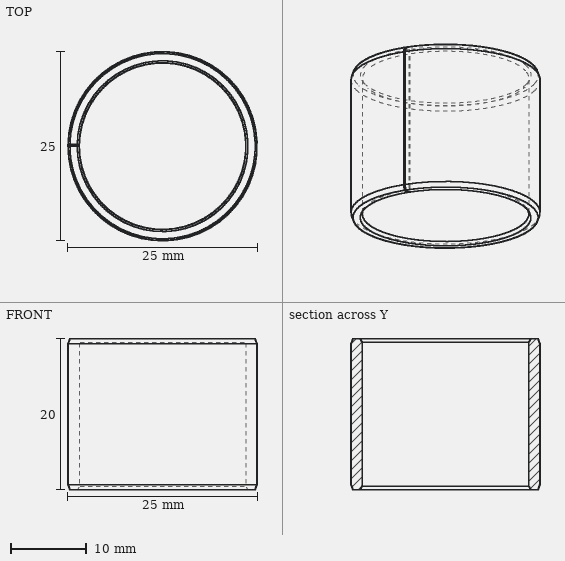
import cadquery as cq
import math

outer_diameter = 25.0
wall_thickness = 1.5
length = 20.0

outer_chamfer_axial = 0.7
outer_chamfer_angle = 20.0
inner_chamfer_axial = 0.5
inner_chamfer_angle = 30.0

gap_angle = 1.0

outer_radius = outer_diameter / 2
inner_radius = outer_radius - wall_thickness
half_length = length / 2
outer_chamfer_radial = outer_chamfer_axial * math.tan(math.radians(outer_chamfer_angle))
inner_chamfer_radial = inner_chamfer_axial * math.tan(math.radians(inner_chamfer_angle))


def wall_section():
    """Chamfered wall section on the -X side, in the XZ plane."""
    outer_x = -outer_radius
    inner_x = -inner_radius
    outer_end_x = outer_x + outer_chamfer_radial
    inner_end_x = inner_x - inner_chamfer_radial
    outer_edge_z = half_length - outer_chamfer_axial
    inner_edge_z = half_length - inner_chamfer_axial
    return (
        cq.Workplane("XZ")
        .moveTo(inner_x, -inner_edge_z)
        .lineTo(inner_end_x, -half_length)
        .lineTo(outer_end_x, -half_length)
        .lineTo(outer_x, -outer_edge_z)
        .lineTo(outer_x, outer_edge_z)
        .lineTo(outer_end_x, half_length)
        .lineTo(inner_end_x, half_length)
        .lineTo(inner_x, inner_edge_z)
        .close()
    )


def split_sleeve():
    """Sweep the section from -X through -Y, stopping short of a full turn."""
    axis_start = (0, 0, 0)
    axis_end = (0, 1, 0)
    return wall_section().revolve(360 - gap_angle, axis_start, axis_end)


result = split_sleeve()